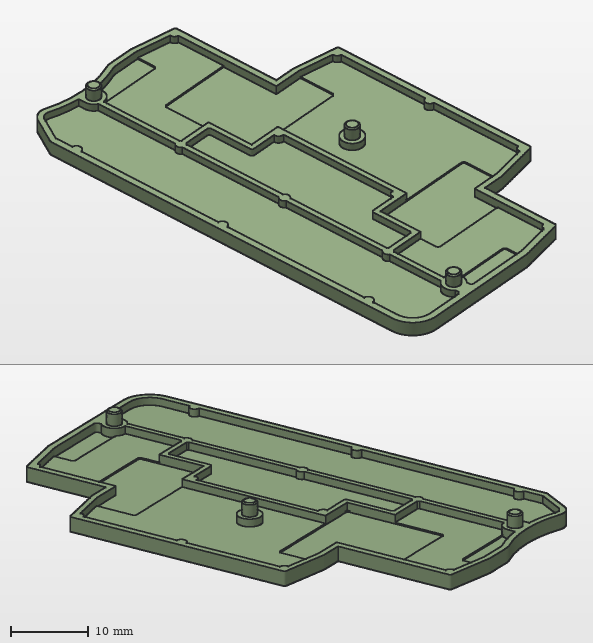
import cadquery as cq
import math

LENGTH = 68.0
WIDTH = 40.0
THICKNESS = 2.1
SHOULDER_Y = 29.3
SIDE_KNEE_Y = 21.95
TIER_KNEE_Y = 32.65
TIER_LEFT = 18.6
TIER_RIGHT = 54.4
LEAN = math.radians(10)
CORNER_RADIUS = 4.1
TIP_FILLET = 0.35
HEEL_FILLET = 0.95

HOLLOW_DEPTH = 1.2
HOLLOW_RADIUS = 17.35
UPPER_BEND_RADIUS = 3.0
LOWER_BEND_RADIUS = 2.1
HEEL_SLANT = math.radians(30)

SIDE_WALL = 0.9
RIGHT_WALL = 1.0
END_WALL = 1.0
FLOOR_Z = 1.0
PAD_DEPTH = 0.2
PAD_FILLET = 0.4

PIN_RADIUS = 1.0
PIN_TOP = 4.0
PIN_CHAMFER = 0.2
BOSS_RADIUS = 1.7
MIDDLE_X = LENGTH / 2
PIN_OFFSET = 30.9
SIDE_PIN_Y = 11.1
MIDDLE_PIN_Y = 26.6
PINS = [
    (MIDDLE_X - PIN_OFFSET, SIDE_PIN_Y),
    (MIDDLE_X, MIDDLE_PIN_Y),
    (MIDDLE_X + PIN_OFFSET, SIDE_PIN_Y),
]
WEB_WIDTH = 2.25
WEB_FILLET = 0.4

RIB = 0.8
RIB_Y = 10.7
HOUSING_LEFT = 18.4
HOUSING_RIGHT = 54.0
HOUSING_STEP_LEFT = 25.85
HOUSING_STEP_RIGHT = 47.1
HOUSING_SHOULDER_Y = 16.2
HOUSING_TOP_Y = 21.35
HOUSING_FILLET = 0.35

BUMP_RADIUS = 0.75
BUMP_INSET = 0.95
BOTTOM_BUMP_OFFSET = 25.0
TIER_MIDDLE = (TIER_LEFT + TIER_RIGHT) / 2
TIER_BUMP_OFFSET = 15.9
SIDE_BUMP_INSET = 2.0
STEP_BUMP_INSET = 0.55

PAD_LEFT_X = 10.5
PAD_RIGHT_X = 57.45
PAD_TOP_Y = 33.0
SIDE_PAD_WIDTH = 4.15
SIDE_PAD_TOP_Y = 22.3


def polar(center, radius, angle):
    return (center[0] + radius * math.cos(angle), center[1] + radius * math.sin(angle))


def bend_center(radius, direction):
    """Centre of a convex bend tangent to the left edge and to the hollow."""
    reach = HOLLOW_RADIUS + radius
    rise = math.sqrt(reach**2 - (reach - HOLLOW_DEPTH) ** 2)
    return (radius, SIDE_PIN_Y + direction * rise)


def outline(side, right, end):
    """Plate outline moved inward by the given side, right and end wall widths."""
    lean = math.tan(LEAN)
    knee_rise = math.tan(LEAN / 2)
    top = WIDTH - end
    shoulder = SHOULDER_Y - end
    left_knee = SIDE_KNEE_Y + side * knee_rise
    right_knee = SIDE_KNEE_Y + right * knee_rise
    tier_knee = TIER_KNEE_Y + side * knee_rise
    tier_left = TIER_LEFT + side
    tier_right = TIER_RIGHT - side
    right_x = LENGTH - right
    corner = CORNER_RADIUS - right
    corner_center = (right_x - corner, end + corner)

    hollow_center = (HOLLOW_DEPTH - HOLLOW_RADIUS, SIDE_PIN_Y)
    hollow = HOLLOW_RADIUS + side
    upper_center = bend_center(UPPER_BEND_RADIUS, 1)
    lower_center = bend_center(LOWER_BEND_RADIUS, -1)
    upper = UPPER_BEND_RADIUS - side
    lower = LOWER_BEND_RADIUS - side
    upper_angle = math.atan2(upper_center[1] - SIDE_PIN_Y, upper_center[0] - hollow_center[0])
    lower_angle = math.atan2(lower_center[1] - SIDE_PIN_Y, lower_center[0] - hollow_center[0])
    slant_angle = math.pi * 3 / 2 - HEEL_SLANT
    slant_start = polar(lower_center, lower, slant_angle)
    heel_x = slant_start[0] + (slant_start[1] - end) / math.tan(HEEL_SLANT)

    return (
        cq.Workplane("XY")
        .moveTo(heel_x, end)
        .lineTo(corner_center[0], end)
        .threePointArc(polar(corner_center, corner, -math.pi / 4), (right_x, corner_center[1]))
        .lineTo(right_x, right_knee)
        .lineTo(right_x - (shoulder - right_knee) * lean, shoulder)
        .lineTo(tier_right, shoulder)
        .lineTo(tier_right, tier_knee)
        .lineTo(tier_right - (top - tier_knee) * lean, top)
        .lineTo(tier_left + (top - tier_knee) * lean, top)
        .lineTo(tier_left, tier_knee)
        .lineTo(tier_left, shoulder)
        .lineTo(side + (shoulder - left_knee) * lean, shoulder)
        .lineTo(side, left_knee)
        .lineTo(side, upper_center[1])
        .threePointArc(
            polar(upper_center, upper, math.pi + upper_angle / 2),
            polar(upper_center, upper, math.pi + upper_angle),
        )
        .threePointArc(
            polar(hollow_center, hollow, 0),
            polar(hollow_center, hollow, lower_angle),
        )
        .threePointArc(polar(lower_center, lower, math.pi), slant_start)
        .close()
    )


def block(x0, x1, y0, y1, z0=0.0):
    """Box between the given limits, from z0 up to the top of the plate."""
    box = cq.Workplane("XY").box(x1 - x0, y1 - y0, THICKNESS - z0, centered=False)
    return box.translate((x0, y0, z0))


def rib(start, end, width=RIB):
    """Straight rib along X or Y, with square ends half a width past its end points."""
    half = width / 2
    x0, x1 = sorted((start[0], end[0]))
    y0, y1 = sorted((start[1], end[1]))
    return block(x0 - half, x1 + half, y0 - half, y1 + half)


def posts(centers, radius, height=THICKNESS):
    return cq.Workplane("XY").pushPoints(centers).circle(radius).extrude(height)


def round_corners(solid, corners, radius):
    """Round the upright edges of an extruded shape at the given (x, y) corners."""
    for x, y in corners:
        nearest = cq.selectors.NearestToPointSelector((x, y, THICKNESS / 2))
        solid = solid.edges("|Z").edges(nearest).fillet(radius)
    return solid


def build_plate():
    plate = outline(0, 0, 0).extrude(THICKNESS)
    side_rise = (SHOULDER_Y - SIDE_KNEE_Y) * math.tan(LEAN)
    tier_rise = (WIDTH - TIER_KNEE_Y) * math.tan(LEAN)
    tips = [
        (side_rise, SHOULDER_Y),
        (LENGTH - side_rise, SHOULDER_Y),
        (TIER_LEFT + tier_rise, WIDTH),
        (TIER_RIGHT - tier_rise, WIDTH),
    ]
    plate = round_corners(plate, tips, TIP_FILLET)
    return plate.faces("<Y").edges("|Z").edges("<X").fillet(HEEL_FILLET)


def build_ribs():
    """Cross rib, the stepped housing that stands on it and the webs of the side bosses."""
    path = [
        (HOUSING_LEFT, RIB_Y),
        (HOUSING_LEFT, HOUSING_SHOULDER_Y),
        (HOUSING_STEP_LEFT, HOUSING_SHOULDER_Y),
        (HOUSING_STEP_LEFT, HOUSING_TOP_Y),
        (HOUSING_STEP_RIGHT, HOUSING_TOP_Y),
        (HOUSING_STEP_RIGHT, HOUSING_SHOULDER_Y),
        (HOUSING_RIGHT, HOUSING_SHOULDER_Y),
        (HOUSING_RIGHT, RIB_Y),
    ]
    ribs = rib((PINS[0][0], RIB_Y), (PINS[-1][0], RIB_Y))
    for start, end in zip(path, path[1:]):
        ribs = ribs.union(rib(start, end))
    left_web = rib((0, SIDE_PIN_Y), (PINS[0][0] - BOSS_RADIUS, SIDE_PIN_Y), 2 * BOSS_RADIUS)
    right_web = rib(PINS[-1], (LENGTH, SIDE_PIN_Y), WEB_WIDTH)
    return ribs.union(left_web).union(right_web)


def build_bumps():
    bottom = [(MIDDLE_X + k * BOTTOM_BUMP_OFFSET, BUMP_INSET) for k in (-1, 0, 1)]
    top = [(TIER_MIDDLE + k * TIER_BUMP_OFFSET, WIDTH - BUMP_INSET) for k in (-1, 0, 1)]
    shoulder = [(x, SHOULDER_Y - BUMP_INSET) for x in (SIDE_BUMP_INSET, LENGTH - SIDE_BUMP_INSET)]
    housing_middle = (HOUSING_LEFT + HOUSING_RIGHT) / 2
    cross = [(x, RIB_Y) for x in (HOUSING_LEFT, housing_middle, HOUSING_RIGHT)]
    step_y = HOUSING_TOP_Y - STEP_BUMP_INSET
    step_xs = (HOUSING_STEP_LEFT + STEP_BUMP_INSET, HOUSING_STEP_RIGHT - STEP_BUMP_INSET)
    step = [(x, step_y) for x in step_xs]
    bumps = posts(bottom, BUMP_RADIUS)
    for group in (top, shoulder, cross, step):
        bumps = bumps.union(posts(group, BUMP_RADIUS))
    return bumps


def build_pads():
    """Columns over the recessed floor areas; the rim and ribs trim them."""
    half = RIB / 2
    low = HOUSING_SHOULDER_Y + half
    z0 = FLOOR_Z - PAD_DEPTH
    areas = [
        (PAD_LEFT_X, HOUSING_STEP_LEFT - half, low, PAD_TOP_Y),
        (HOUSING_STEP_RIGHT + half, PAD_RIGHT_X, low, PAD_TOP_Y),
        (0, SIDE_PAD_WIDTH, SIDE_PIN_Y, SIDE_PAD_TOP_Y),
        (LENGTH - SIDE_PAD_WIDTH, LENGTH, SIDE_PIN_Y, SIDE_PAD_TOP_Y),
    ]
    pads = cq.Workplane("XY")
    for area in areas:
        pads = pads.union(block(*area, z0=z0).edges("|Z").fillet(PAD_FILLET))
    return pads


def build_pins():
    return posts(PINS, PIN_RADIUS, PIN_TOP).faces(">Z").edges().chamfer(PIN_CHAMFER)


def build_inside():
    """Everything open between the rim, the ribs, the bosses and the bumps."""
    walls = build_ribs().union(build_bumps()).union(posts(PINS, BOSS_RADIUS))
    inside = outline(SIDE_WALL, RIGHT_WALL, END_WALL).extrude(THICKNESS).cut(walls)
    half = RIB / 2
    web_corners = [(LENGTH - RIGHT_WALL, SIDE_PIN_Y + k * WEB_WIDTH / 2) for k in (-1, 1)]
    housing_xs = (
        HOUSING_LEFT + half,
        HOUSING_STEP_LEFT + half,
        HOUSING_STEP_RIGHT - half,
        HOUSING_RIGHT - half,
    )
    housing_corners = [(x, HOUSING_SHOULDER_Y - half) for x in housing_xs]
    inside = round_corners(inside, web_corners, WEB_FILLET)
    return round_corners(inside, housing_corners, HOUSING_FILLET)


inside = build_inside()
floor_cut = inside.intersect(block(0, LENGTH, 0, WIDTH, z0=FLOOR_Z))
pad_cut = inside.intersect(build_pads())

result = build_plate().cut(floor_cut).cut(pad_cut).union(build_pins())